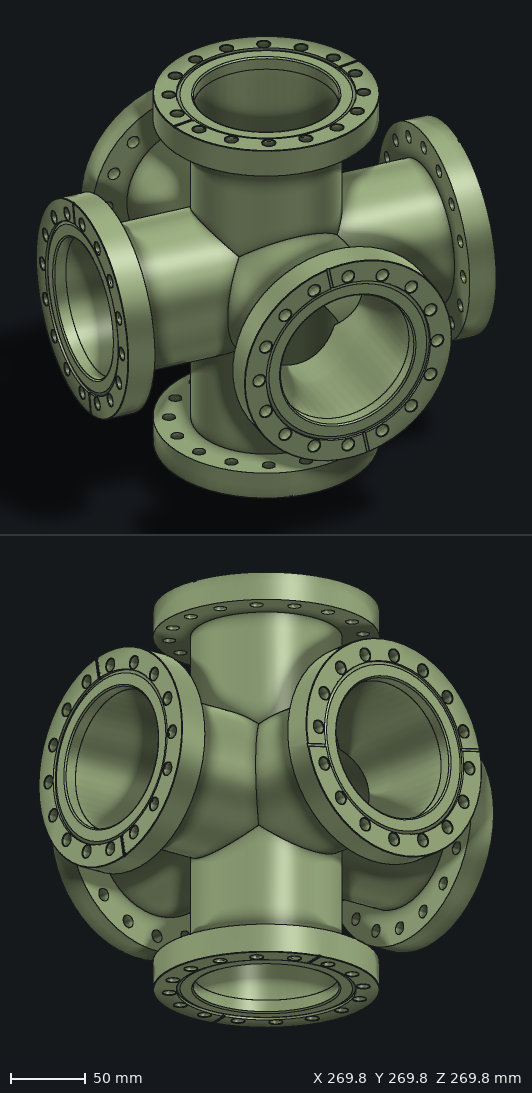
import cadquery as cq

overall = 269.8
face_distance = overall / 2

tube_radius = 50.7
bore_radius = 48.8

flange_radius = 75.8
flange_thickness = 19.7
tube_setback = 10.0
bore_chamfer = 1.0
edge_chamfer = 0.4

groove_outer_radius = 60.2
knife_radius = 57.7
land_depth = 0.8
seal_groove_depth = 2.0

bolt_count = 16
bolt_circle_diameter = 130.3
bolt_hole_radius = 4.3

leak_groove_width = 2.0
leak_groove_depth = 0.8
first_leak_groove_angle = 90 + 180 / bolt_count

ports = [
    ((1, 0, 0), (0, 1, 0)),
    ((-1, 0, 0), (0, 0, 1)),
    ((0, 1, 0), (-1, 0, 0)),
    ((0, -1, 0), (1, 0, 0)),
    ((0, 0, 1), (1, 0, 0)),
    ((0, 0, -1), (0, -1, 0)),
]


def crossed_cylinders(radius):
    """Three equal cylinders along X, Y and Z that meet at the origin."""
    half_length = face_distance - tube_setback
    cylinders = cq.Workplane("XY")
    for plane in ("XY", "YZ", "XZ"):
        cylinders = cylinders.union(cq.Workplane(plane).circle(radius).extrude(half_length, both=True))
    return cylinders


def make_cross():
    """Hollow six-way tube body."""
    return crossed_cylinders(tube_radius).cut(crossed_cylinders(bore_radius))


def flange_ring():
    """Revolved flange along +Z with its outer face at z = 0."""
    profile = [
        (tube_radius, -flange_thickness),
        (flange_radius, -flange_thickness),
        (flange_radius, -edge_chamfer),
        (flange_radius - edge_chamfer, 0),
        (groove_outer_radius, 0),
        (groove_outer_radius, -seal_groove_depth),
        (knife_radius, -land_depth),
        (bore_radius + bore_chamfer, -land_depth),
        (bore_radius, -land_depth - bore_chamfer),
        (bore_radius, -tube_setback),
        (tube_radius, -tube_setback),
    ]
    return cq.Workplane("XZ").polyline(profile).close().revolve(360, (0, 0, 0), (0, 1, 0))


def bolt_holes():
    """Ring of through-hole cutters, each widening to a chamfer at the outer face."""
    half_profile = [
        (0, -flange_thickness),
        (bolt_hole_radius, -flange_thickness),
        (bolt_hole_radius, -edge_chamfer),
        (bolt_hole_radius + edge_chamfer, 0),
        (0, 0),
    ]
    hole = cq.Workplane("XZ").polyline(half_profile).close().revolve(360, (0, 0, 0), (0, 1, 0)).val()
    return (
        cq.Workplane("XY")
        .polarArray(bolt_circle_diameter / 2, 0, 360, bolt_count)
        .eachpoint(lambda location: hole.moved(location))
    )


def leak_groove(angle):
    """Cutter for a shallow radial groove from the sealing groove to the rim."""
    length = flange_radius - groove_outer_radius + leak_groove_width
    middle = (flange_radius + groove_outer_radius) / 2
    return (
        cq.Workplane("XY")
        .center(middle, 0)
        .rect(length, leak_groove_width)
        .extrude(-leak_groove_depth)
        .rotate((0, 0, 0), (0, 0, 1), angle)
    )


def make_flange():
    """Flange along +Z with its outer face at z = 0."""
    flange = flange_ring().cut(bolt_holes())
    for angle in (first_leak_groove_angle, first_leak_groove_angle + 180):
        flange = flange.cut(leak_groove(angle))
    return flange.val()


def placed_on_port(flange, outward, local_x):
    """Copy of the flange moved to the end of one tube."""
    origin = tuple(face_distance * component for component in outward)
    return flange.moved(cq.Location(cq.Plane(origin, local_x, outward)))


cross = make_cross()
flange = make_flange()
flanges = [placed_on_port(flange, outward, local_x) for outward, local_x in ports]

result = cq.Compound.makeCompound([cross.val(), *flanges])